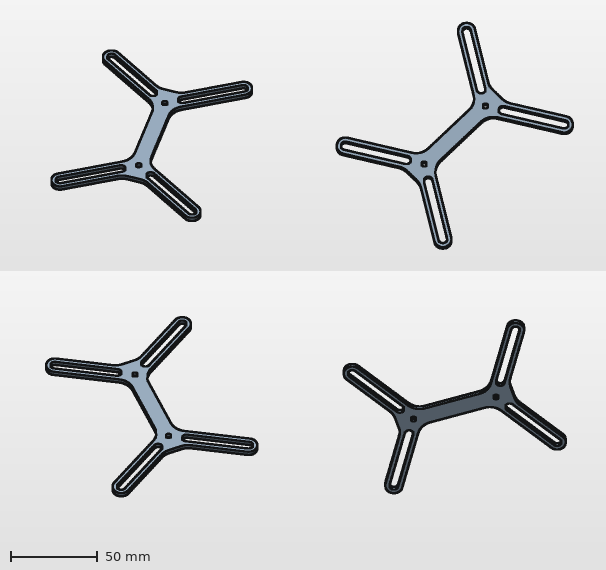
import cadquery as cq
import math

length = 108.9
width = 90.0
thickness = 3.0
bar_width = 10.0
slot_width = 5.0
hole_diameter = 3.0
hole_spacing = 50.0
spine_length = 69.9
slot_start = 10.5
fillet_radius = 10.0

hole_y = hole_spacing / 2
tip_x = (width - bar_width) / 2
tip_y = (length - bar_width) / 2
arm_run = math.hypot(tip_x, tip_y - hole_y)
arm_angle = math.degrees(math.atan2(tip_y - hole_y, tip_x))


def arm_prism(start, end, prism_width):
    """Round-ended prism along the +X +Y arm, between two centre distances from the hole."""
    return (
        cq.Workplane("XY")
        .center((start + end) / 2, 0)
        .slot2D(end - start + prism_width, prism_width)
        .extrude(thickness)
        .rotate((0, 0, 0), (0, 0, 1), arm_angle)
        .translate((0, hole_y, 0))
    )


def four_way(body):
    """The body together with its mirror images across the YZ and XZ planes."""
    pair = body.union(body.mirror("YZ"))
    return pair.union(pair.mirror("XZ"))


half_width = bar_width / 2
end_y = spine_length / 2
arm_slope = math.tan(math.radians(arm_angle))
edge_rise = half_width / math.cos(math.radians(arm_angle))
side_corner = (half_width, hole_y + arm_slope * half_width - edge_rise)
end_corner = ((end_y - hole_y - edge_rise) / arm_slope, end_y)


def fillet_corner(plate, x, y):
    """Round the vertical edge nearest to (x, y)."""
    edge = cq.NearestToPointSelector((x, y, thickness / 2))
    return plate.edges("|Z").edges(edge).fillet(fillet_radius)


spine = cq.Workplane("XY").rect(bar_width, spine_length).extrude(thickness)
web = (
    cq.Workplane("XY")
    .polyline([(0, hole_y), end_corner, (0, end_y)])
    .close()
    .extrude(thickness)
)
plate = spine.union(four_way(arm_prism(0, arm_run, bar_width).union(web))).clean()

for corner_x, corner_y in (side_corner, end_corner):
    for x_sign in (1, -1):
        for y_sign in (1, -1):
            plate = fillet_corner(plate, x_sign * corner_x, y_sign * corner_y)

plate = plate.cut(four_way(arm_prism(slot_start, arm_run, slot_width)))

holes = (
    cq.Workplane("XY")
    .pushPoints([(0, hole_y), (0, -hole_y)])
    .circle(hole_diameter / 2)
    .extrude(thickness)
)
result = plate.cut(holes)